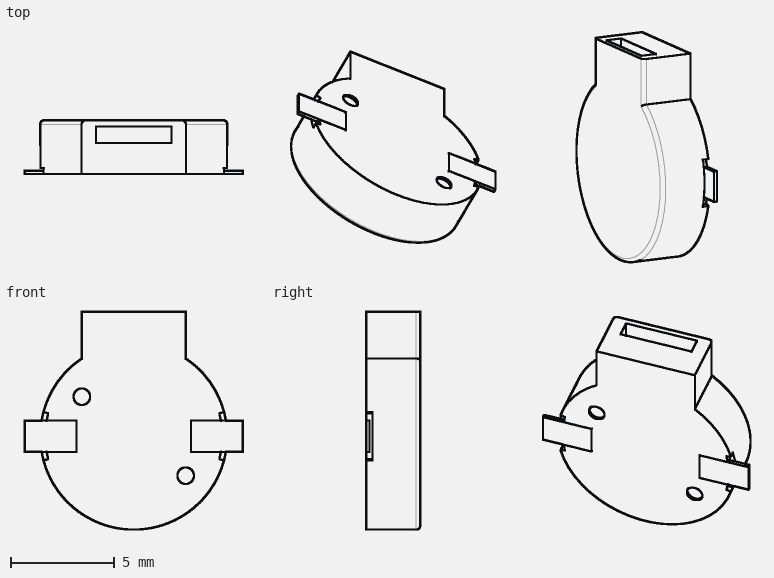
import cadquery as cq
import math

overall_width = 10.5
depth = 2.6
disc_radius = 4.5
neck_width = 5.02
neck_top = overall_width - disc_radius
rim_fillet = 0.2

slot_width = 3.62
slot_thickness = 0.8
slot_back_wall = 0.29
slot_depth = 1.05

hole_radius = 0.4
hole_depth = 0.1
hole_x = 2.5
hole_z = 1.9

terminal_length = 2.5
terminal_height = 1.5
terminal_thickness = 0.17
notch_half_angle = math.radians(15)
notch_inner_radius = 4.26
notch_depth = 0.29
notch_overshoot = 0.21
notch_outer_radius = disc_radius + notch_overshoot


def front_plane():
    """Sketch plane on Y = 0, with local x = X, local y = Z and normal = -Y."""
    return cq.Workplane("XZ")


def terminal(side):
    """Flat terminal, flush with the mounting face; side is -1 or +1."""
    center_x = side * (overall_width - terminal_length) / 2
    return (
        front_plane()
        .center(center_x, 0)
        .rect(terminal_length, terminal_height)
        .extrude(-terminal_thickness)
    )


def rim_notch(side):
    """Cutter for the annular sector removed from the rim around a terminal."""
    def point(radius, angle):
        return (side * radius * math.cos(angle), radius * math.sin(angle))

    return (
        front_plane()
        .moveTo(*point(notch_inner_radius, -notch_half_angle))
        .threePointArc(point(notch_inner_radius, 0), point(notch_inner_radius, notch_half_angle))
        .lineTo(*point(notch_outer_radius, notch_half_angle))
        .threePointArc(point(notch_outer_radius, 0), point(notch_outer_radius, -notch_half_angle))
        .close()
        .extrude(-notch_depth)
    )


def housing_blank():
    """Disc with a straight neck on top, rounded along the back rim except at the neck top."""
    half_neck = neck_width / 2
    shoulder_z = math.sqrt(disc_radius**2 - half_neck**2)
    blank = (
        front_plane()
        .moveTo(-half_neck, shoulder_z)
        .lineTo(-half_neck, neck_top)
        .lineTo(half_neck, neck_top)
        .lineTo(half_neck, shoulder_z)
        .threePointArc((0, -disc_radius), (-half_neck, shoulder_z))
        .close()
        .extrude(-depth)
    )
    back_rim = blank.faces(">Y").edges("not >Z")
    return blank.newObject(back_rim.vals()).fillet(rim_fillet)


def sound_slot():
    """Cutter for the rectangular slot, sunk from the neck top."""
    center_y = depth - slot_back_wall - slot_thickness / 2
    return (
        cq.Workplane("XY", origin=(0, center_y, neck_top))
        .rect(slot_width, slot_thickness)
        .extrude(-slot_depth)
    )


def blind_holes():
    """Cutter for the two round holes in the mounting face."""
    return (
        front_plane()
        .pushPoints([(-hole_x, hole_z), (hole_x, -hole_z)])
        .circle(hole_radius)
        .extrude(-hole_depth)
    )


terminals = [terminal(side) for side in (-1, 1)]

housing = housing_blank().cut(sound_slot()).cut(blind_holes())
for side, blade in zip((-1, 1), terminals):
    housing = housing.cut(rim_notch(side)).cut(blade)

result = cq.Compound.makeCompound([housing.val(), *[blade.val() for blade in terminals]])